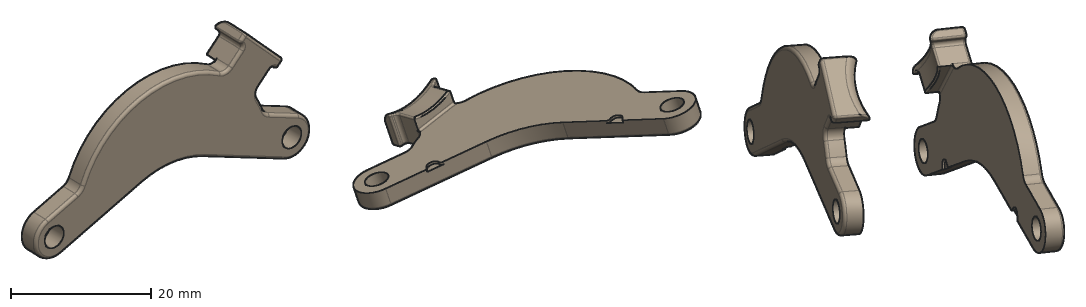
import cadquery as cq
import math

plate_thickness = 3.05
plate_edge_round = 0.5
hole_diameter = 3.5
lug_radius = 3.5
lug_offset = 25.45 - lug_radius
arm_slope = 22.0
crown_radius = 18.0
arch_radius = 15.15
shoulder_round = 1.9

clip_angle = 45.0
clip_base = 18.5
clip_tip = 24.0
clip_front = -2.95
clip_overlap = 2.05
neck_half_width = 3.75
flange_depth = 1.75
flange_half_width = 5.0
saddle_bottom = -1.7
saddle_radius = 11.45
saddle_tip_round = 1.7
clip_root_round = 1.55
flange_root_round = 0.6
flange_corner_round = 0.3
clip_edge_round = 0.25
clip_foot_round = 0.35

pocket_offset = 13.6
pocket_radius = 0.95
pocket_depth = 0.4
pocket_mouth_round = 0.5

sin_arm = math.sin(math.radians(arm_slope))
cos_arm = math.cos(math.radians(arm_slope))
arm_axis_distance = lug_offset * sin_arm
arm_bottom_distance = arm_axis_distance - lug_radius


def on_arm(along, distance):
    """(Y, Z) of a point on the +Y arm: along its slope, and square to it from the origin."""
    return along * cos_arm + distance * sin_arm, distance * cos_arm - along * sin_arm


def mirrored(point):
    return -point[0], point[1]


def make_plate():
    arm_top_distance = arm_axis_distance + lug_radius
    lug_along = lug_offset * cos_arm
    shoulder = on_arm(math.sqrt(crown_radius**2 - arm_top_distance**2), arm_top_distance)
    lug_top = on_arm(lug_along, arm_top_distance)
    lug_end = on_arm(lug_along + lug_radius, arm_axis_distance)
    lug_bottom = on_arm(lug_along, arm_bottom_distance)

    arch_center = (arm_bottom_distance - arch_radius) / cos_arm
    arch_end = (arch_radius * sin_arm, arch_center + arch_radius * cos_arm)
    arch_top = (0, arch_center + arch_radius)

    plate = (
        cq.Workplane("YZ")
        .moveTo(*mirrored(shoulder))
        .threePointArc((0, crown_radius), shoulder)
        .lineTo(*lug_top)
        .threePointArc(lug_end, lug_bottom)
        .lineTo(*arch_end)
        .threePointArc(arch_top, mirrored(arch_end))
        .lineTo(*mirrored(lug_bottom))
        .threePointArc(mirrored(lug_end), mirrored(lug_top))
        .close()
        .extrude(plate_thickness)
    )
    for point in (shoulder, mirrored(shoulder)):
        plate = plate.edges(nearest_x_edge(point)).fillet(shoulder_round)
    return plate


def nearest_x_edge(point):
    """Selector for the edge through the plate at (Y, Z)."""
    return cq.selectors.NearestToPointSelector((plate_thickness / 2, *point))


def clip_to_part(body):
    """Turn a body built with u along +Y and v along +Z to the clip's place."""
    return body.rotate((0, 0, 0), (1, 0, 0), clip_angle)


def clip_box(u_start, half_width, x_start, x_end):
    size = (x_end - x_start, clip_tip - u_start, 2 * half_width)
    return (
        cq.Workplane("XY")
        .box(*size, centered=(False, False, True))
        .translate((x_start, u_start, 0))
    )


def make_saddle():
    """Cutter for the hollow front of the clip, flared toward the tip."""
    margin = 2.55
    axis_x = saddle_bottom - saddle_radius
    flare_start = clip_tip - saddle_tip_round
    flared_radius = saddle_radius + saddle_tip_round
    bend = saddle_tip_round * math.sqrt(0.5)
    return (
        cq.Workplane("XY")
        .moveTo(axis_x, clip_base - margin)
        .lineTo(saddle_bottom, clip_base - margin)
        .lineTo(saddle_bottom, flare_start)
        .threePointArc(
            (saddle_bottom + saddle_tip_round - bend, flare_start + bend),
            (axis_x + flared_radius, clip_tip),
        )
        .lineTo(axis_x + flared_radius, clip_tip + margin)
        .lineTo(axis_x, clip_tip + margin)
        .close()
        .revolve(360, (axis_x, 0, 0), (axis_x, 1, 0))
    )


def clip_prism(u_start, x_start, x_end):
    """T-shaped clip outline extruded along X, with its corners rounded."""
    flange_base = clip_tip - flange_depth
    neck = clip_box(u_start, neck_half_width, x_start, x_end)
    prism = neck.union(clip_box(flange_base, flange_half_width, x_start, x_end))
    mid_x = (x_start + x_end) / 2
    for side in (-1, 1):
        roundings = (
            (flange_base, neck_half_width, flange_root_round),
            (flange_base, flange_half_width, flange_corner_round),
            (clip_tip, flange_half_width, flange_corner_round),
        )
        for u, v, radius in roundings:
            corner = cq.selectors.NearestToPointSelector((mid_x, u, side * v))
            prism = prism.edges("|X").edges(corner).fillet(radius)
    return prism


def make_clip_front():
    """Part of the clip that stands proud of the plate."""
    front = clip_prism(clip_base, clip_front, 0).cut(make_saddle())
    saddle_mid = (saddle_bottom, (clip_base + clip_tip - saddle_tip_round) / 2, 0)
    saddle_face = front.faces(cq.selectors.NearestToPointSelector(saddle_mid))
    front = saddle_face.edges().fillet(clip_edge_round)
    return clip_to_part(front)


def add_clip_back(plate):
    """Part of the clip level with the plate, blended into the crown on both sides."""
    body = plate.union(clip_to_part(clip_prism(clip_base - clip_overlap, 0, plate_thickness)))
    u = math.sqrt(crown_radius**2 - neck_half_width**2)
    cos_clip = math.cos(math.radians(clip_angle))
    sin_clip = math.sin(math.radians(clip_angle))
    for v in (-neck_half_width, neck_half_width):
        corner = (u * cos_clip - v * sin_clip, u * sin_clip + v * cos_clip)
        body = body.edges("|X").edges(nearest_x_edge(corner)).fillet(clip_root_round)
    return body


def join_clip_front(body):
    """Attach the front of the clip and fill the inner corner where its foot meets the plate."""
    body = body.union(make_clip_front())
    half = math.sqrt(0.5) * clip_base
    foot_edge = cq.selectors.NearestToPointSelector((0, half, half))
    return body.edges(foot_edge).fillet(clip_foot_round)


def cut_holes(body):
    centers = [(-lug_offset, 0), (lug_offset, 0)]
    holes = cq.Workplane("YZ").pushPoints(centers).circle(hole_diameter / 2).extrude(plate_thickness)
    return body.cut(holes)


def cut_pockets(body):
    """Round pockets open at the arms' lower edges, with the mouth eased on the inner side."""
    disc = cq.Workplane("YZ").center(pocket_offset, 0).circle(pocket_radius).extrude(pocket_depth)
    outer_side = (
        cq.Workplane("YZ")
        .center(pocket_offset + pocket_radius / 2, -pocket_radius)
        .rect(pocket_radius, 2 * pocket_radius)
        .extrude(pocket_depth)
    )
    reach = 4 * pocket_radius
    below_arm = (
        cq.Workplane("YZ")
        .rect(2 * reach, reach)
        .extrude(pocket_depth)
        .translate((0, 0, arm_bottom_distance - reach / 2))
        .translate((0, pocket_offset / cos_arm, 0))
        .rotate((0, 0, 0), (1, 0, 0), -arm_slope)
    )
    pocket = disc.union(outer_side).union(below_arm)
    inner_y = pocket_offset - pocket_radius
    inner_z = (arm_bottom_distance - inner_y * sin_arm) / cos_arm
    mouth = cq.selectors.NearestToPointSelector((pocket_depth / 2, inner_y, inner_z))
    pocket = pocket.edges("|X").edges(mouth).fillet(pocket_mouth_round)
    return body.cut(pocket).cut(pocket.mirror("XZ"))


body = add_clip_back(make_plate())
body = body.faces(">X").edges().fillet(plate_edge_round)
body = join_clip_front(body)
body = cut_holes(body)
result = cut_pockets(body)